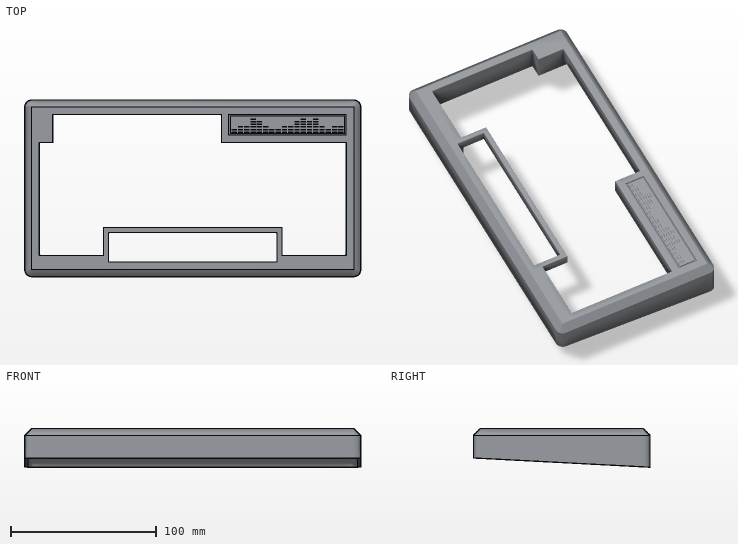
import cadquery as cq
length = 231.0
depth = 121.5
back_height = 26.8
bottom_tilt = 3.0
corner_radius = 5.0
top_chamfer = 4.8
half_length = length / 2
half_depth = depth / 2

border = 10.2
opening_right = half_length - border
opening_left = -opening_right
opening_back = half_depth - border
opening_front = -46.0
step_y = 31.5
left_block_x = -96.0
display_block_x = 19.6
edge_break = 0.35

lip_depth = 11.5
ledge_depth = 19.5
ledge_width = 6.0

cover_wall = 2.3

window_half_length = 57.7
window_wall = 3.7
window_back = -30.5
window_front = -half_depth + border
window_frame_height = 7.2

display_left = 24.7
display_right = 105.3
display_front = 36.5
display_back = 50.8
groove_width = 1.22
engraving_depth = 1.0

meter_levels = [2, 3, 3, 6, 5, 3, 2, 2, 3, 3, 5, 6, 5, 6, 3, 2, 3, 3]
meter_left = 27.0
meter_right = 103.2
bar_length = 3.0
first_row_y = 38.5
column_pitch = (meter_right - meter_left - bar_length) / (len(meter_levels) - 1)
row_pitch = 1.8
bar_width = 0.28


def block(x_min, x_max, y_min, y_max, z_min, z_max):
    """Axis-aligned box given by its limits."""
    size = (x_max - x_min, y_max - y_min, z_max - z_min)
    return cq.Workplane("XY").box(*size, centered=False).translate((x_min, y_min, z_min))


def below_top(x_min, x_max, y_min, y_max, start, end):
    """Box between two depths measured down from the top face."""
    return block(x_min, x_max, y_min, y_max, back_height - end, back_height - start)


def follow_bottom(workplane):
    """Tilt a solid about the rear bottom edge, so that its Z = 0 plane becomes the sloping bottom."""
    return workplane.rotate((0, half_depth, 0), (1, half_depth, 0), -bottom_tilt)


def outer_shell():
    shell = cq.Workplane("XY").box(length, depth, back_height, centered=(True, True, False))
    shell = shell.edges("|Z").fillet(corner_radius)
    shell = shell.faces(">Z").chamfer(top_chamfer)
    below_bottom = block(-length, length, -depth, depth, -back_height, 0)
    return shell.cut(follow_bottom(below_bottom))


def through_opening(x_min, x_max, y_min, y_max):
    """Rectangular opening through the full height, with slightly rounded corners."""
    return below_top(x_min, x_max, y_min, y_max, 0, back_height).edges("|Z").fillet(edge_break)


def key_opening():
    main = through_opening(opening_left, opening_right, opening_front, step_y)
    rear = through_opening(left_block_x, display_block_x, 0, opening_back)
    return main.union(rear).cut(window_frame())


def window_frame():
    outer_half = window_half_length + window_wall
    return below_top(
        -outer_half, outer_half, window_front, window_back + window_wall, 0, window_frame_height
    )


def window():
    return through_opening(-window_half_length, window_half_length, window_front, window_back)


def ledge(x_min, x_max, lip_y):
    """Step cut back under the lip of one rear edge."""
    return below_top(x_min, x_max, lip_y - edge_break, lip_y + ledge_width, lip_depth, ledge_depth)


def cover_recess():
    """Recess square to the sloping bottom, with a roof parallel to the top face."""
    recess = cq.Workplane("XY").box(length - 2 * cover_wall, depth - 2 * cover_wall, 2 * back_height)
    recess = follow_bottom(recess.edges("|Z").fillet(corner_radius - cover_wall))
    return recess.intersect(below_top(-length, length, -depth, depth, ledge_depth, 2 * back_height))


def round_rims(part):
    """Round the top edges of the openings, leaving the outer edge of the top face alone."""
    inside = cq.selectors.BoxSelector(
        (-half_length + top_chamfer + edge_break, -half_depth + top_chamfer + edge_break, 0),
        (half_length - top_chamfer - edge_break, half_depth - top_chamfer - edge_break, 2 * back_height),
    )
    return part.faces(">Z").edges(inside).fillet(edge_break)


def display_groove():
    outside = below_top(display_left, display_right, display_front, display_back, 0, engraving_depth)
    island = below_top(
        display_left + groove_width,
        display_right - groove_width,
        display_front + groove_width,
        display_back - groove_width,
        0,
        engraving_depth,
    )
    return outside.cut(island)


def level_meter():
    first_column_x = meter_left + bar_length / 2
    places = [
        (first_column_x + column * column_pitch, first_row_y + row * row_pitch)
        for column, level in enumerate(meter_levels)
        for row in range(level)
    ]
    bars = cq.Workplane("XY").workplane(offset=back_height - engraving_depth).pushPoints(places)
    return bars.rect(bar_length, bar_width).extrude(engraving_depth)


result = outer_shell().cut(key_opening()).cut(window())
result = result.cut(ledge(left_block_x, display_block_x, opening_back))
result = result.cut(ledge(display_block_x, opening_right, step_y))
result = result.cut(cover_recess())
result = round_rims(result)
result = result.cut(display_groove()).cut(level_meter())